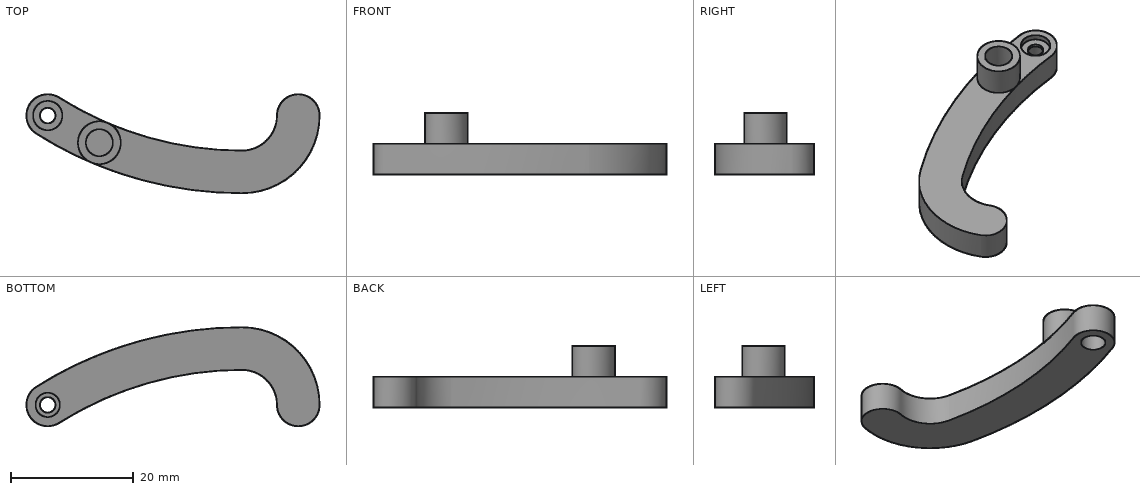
import cadquery as cq
import math

arm_width = 7.0
half_width = arm_width / 2
arm_thickness = 5.05
hook_outer_radius = 12.7
hook_mid_radius = hook_outer_radius - half_width
overall_length = 47.95
tip_x = overall_length - arm_width
hook_x = tip_x - hook_mid_radius

sweep_radius = (hook_x**2 + hook_mid_radius**2) / (2 * hook_mid_radius)
sweep_center_y = sweep_radius - hook_mid_radius
eye_angle = math.asin(hook_x / sweep_radius)

eye_hole_diameter = 2.5
eye_recess_diameter = 4.8
eye_recess_depth = 1.0
eye_web_thickness = 0.5
eye_underside_diameter = 4.0
eye_underside_depth = arm_thickness - eye_recess_depth - eye_web_thickness

post_diameter = arm_width
post_height = 5.05
post_bore_diameter = 4.4
post_bore_depth = post_height
post_x = 8.45


def sweep_point(radius, angle):
    """Point on an arc about the sweep centre; the angle is measured from straight down."""
    return (hook_x - radius * math.sin(angle), sweep_center_y - radius * math.cos(angle))


def hook_point(radius, angle):
    """Point on an arc about the hook centre; the angle is measured from +X."""
    return (hook_x + radius * math.cos(angle), radius * math.sin(angle))


def make_arm():
    inner_sweep = sweep_radius - half_width
    outer_sweep = sweep_radius + half_width
    hook_inner_radius = hook_mid_radius - half_width
    hook_middle = -math.pi / 4
    eye_far_side = (-half_width * math.cos(eye_angle), half_width * math.sin(eye_angle))
    return (
        cq.Workplane("XY")
        .moveTo(*sweep_point(outer_sweep, eye_angle))
        .threePointArc(sweep_point(outer_sweep, eye_angle / 2), (hook_x, -hook_outer_radius))
        .threePointArc(hook_point(hook_outer_radius, hook_middle), (hook_x + hook_outer_radius, 0))
        .threePointArc((tip_x, half_width), (hook_x + hook_inner_radius, 0))
        .threePointArc(hook_point(hook_inner_radius, hook_middle), (hook_x, -hook_inner_radius))
        .threePointArc(sweep_point(inner_sweep, eye_angle / 2), sweep_point(inner_sweep, eye_angle))
        .threePointArc(eye_far_side, sweep_point(outer_sweep, eye_angle))
        .close()
        .extrude(arm_thickness)
    )


def add_post(arm):
    post_angle = math.asin((hook_x - post_x) / sweep_radius)
    post_center = sweep_point(sweep_radius, post_angle)
    post_top = arm_thickness + post_height
    post = (
        cq.Workplane("XY")
        .center(*post_center)
        .circle(post_diameter / 2)
        .extrude(post_top)
    )
    bore = (
        cq.Workplane("XY", origin=(0, 0, post_top - post_bore_depth))
        .center(*post_center)
        .circle(post_bore_diameter / 2)
        .extrude(post_bore_depth)
    )
    return arm.union(post).cut(bore)


def cut_eye(arm):
    through_hole = cq.Workplane("XY").circle(eye_hole_diameter / 2).extrude(arm_thickness)
    top_recess = (
        cq.Workplane("XY", origin=(0, 0, arm_thickness - eye_recess_depth))
        .circle(eye_recess_diameter / 2)
        .extrude(eye_recess_depth)
    )
    underside_bore = (
        cq.Workplane("XY")
        .circle(eye_underside_diameter / 2)
        .extrude(eye_underside_depth)
    )
    return arm.cut(through_hole).cut(top_recess).cut(underside_bore)


result = cut_eye(add_post(make_arm()))